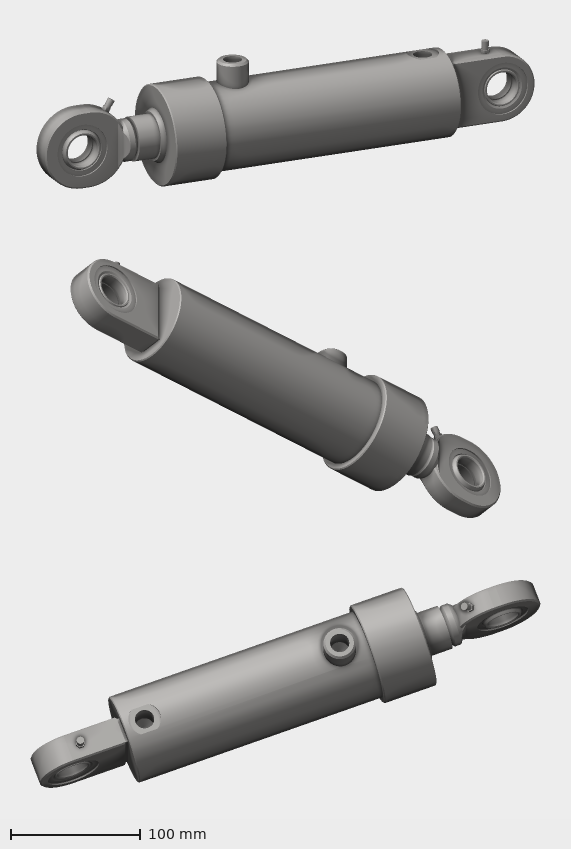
import cadquery as cq
import math


BASE_EYE_Y = 354.0
BARREL_END_Y = 308.5
BASE_EYE_ROOT_Y = 310.5
HEAD_BACK_Y = 108.5
HEAD_FACE_Y = 65.5
WIPER_FACE_Y = 62.0
ROD_FACE_Y = 44.5
COLLAR_BACK_Y = 41.5
COLLAR_FRONT_Y = 37.0
ROD_EYE_CHEEK_Y = 30.0
WAIST_Y = 34.0
BASE_PORT_Y = 291.2
HEAD_PORT_Y = 130.8

BARREL_DIAMETER = 70.0
HEAD_DIAMETER = 80.0
WIPER_BASE_DIAMETER = 43.5
WIPER_FACE_DIAMETER = 38.8
RIM_CHAMFER = 1.0

PORT_DIAMETER = 25.0
PORT_TOP_Z = 53.0
PORT_CHAMFER = 1.5
PORT_SPOTFACE_Z = 33.5
PORT_HOLE_DIAMETER = 15.0
PORT_HOLE_DEPTH = 20.5
DRILL_POINT_ANGLE = 118.0

ROD_DIAMETER = 35.0
COLLAR_DIAMETER = 33.5
COLLAR_NECK_DIAMETER = 28.0

EYE_CHAMFER = 1.2
BASE_EYE_RADIUS = 27.2
BASE_EYE_THICKNESS = 23.0
BASE_EYE_ROOT_INSET = 1.5
ROD_EYE_RADIUS = 31.5
ROD_EYE_THICKNESS = 18.0
ROD_EYE_ROOT_DIAMETER = 40.5
WAIST_DIAMETER = 30.5
WAIST_THICKNESS = 22.3
ROD_EYE_STRETCH = 6.5

BEARING_DIAMETER = 42.0
BEARING_RECESS = 1.2
RING_LIP_DIAMETER = 33.5
RING_LIP_DEPTH = 1.0
BALL_DIAMETER = 35.5
BALL_WIDTH = 20.5
BEARING_BORE = 25.0
BORE_CHAMFER = 1.0
GREASE_GROOVE_WIDTH = 2.5
GREASE_GROOVE_DEPTH = 1.0

NIPPLE_BASE_ACROSS_FLATS = 6.0
NIPPLE_NECK_DIAMETER = 5.5
NIPPLE_HEAD_DIAMETER = 5.8
NIPPLE_BASE_HEIGHT = 3.0
NIPPLE_NECK_HEIGHT = 3.0
NIPPLE_HEIGHT = 10.0
NIPPLE_ROOT_DEPTH = 2.0
BASE_NIPPLE_Y = 344.0
ROD_NIPPLE_TILT = 32.0


def turned(profile):
    """Solid of revolution about the Y axis from (radius, y) points."""
    return cq.Workplane("XY").polyline(profile).close().revolve(360, (0, 0, 0), (0, 1, 0))


def upright_cylinder(diameter, y, z_bottom, z_top):
    """Vertical cylinder on the cylinder's centre plane."""
    base = cq.Workplane("XY", origin=(0, y, z_bottom))
    return base.circle(diameter / 2).extrude(z_top - z_bottom)


def eye_bore(y):
    """Cross bore that fits a bearing's outer ring."""
    half_length = HEAD_DIAMETER / 2
    bore = cq.Workplane("YZ", origin=(-half_length, y, 0))
    return bore.circle(BEARING_DIAMETER / 2).extrude(2 * half_length)


def port_hole(y, z_mouth):
    """Blind drilled hole with a conical bottom."""
    radius = PORT_HOLE_DIAMETER / 2
    point_depth = radius / math.tan(math.radians(DRILL_POINT_ANGLE / 2))
    z_shoulder = z_mouth - PORT_HOLE_DEPTH
    profile = cq.Workplane("XZ", origin=(0, y, 0)).polyline([
        (0, z_mouth),
        (radius, z_mouth),
        (radius, z_shoulder),
        (0, z_shoulder - point_depth),
    ])
    return profile.close().revolve(360, (0, 0, 0), (0, 1, 0))


def grease_nipple():
    """Nipple along +Z with a hexagonal base, seated at z = 0 with a root below it."""
    neck_radius = NIPPLE_NECK_DIAMETER / 2
    head_radius = NIPPLE_HEAD_DIAMETER / 2
    neck_top = NIPPLE_BASE_HEIGHT + NIPPLE_NECK_HEIGHT
    base = (
        cq.Workplane("XY", origin=(0, 0, -NIPPLE_ROOT_DEPTH))
        .polygon(6, NIPPLE_BASE_ACROSS_FLATS, circumscribed=True)
        .extrude(NIPPLE_ROOT_DEPTH + NIPPLE_BASE_HEIGHT)
    )
    tip = cq.Workplane("XZ").polyline([
        (0, 0),
        (neck_radius, 0),
        (neck_radius, neck_top),
        (head_radius, neck_top),
        (head_radius, NIPPLE_HEIGHT),
        (0, NIPPLE_HEIGHT),
    ])
    return base.union(tip.close().revolve(360, (0, 0, 0), (0, 1, 0)))


def base_eye():
    """Round-ended block whose root narrows to its weld on the barrel."""
    height = 2 * BASE_EYE_RADIUS
    start = cq.Workplane("YZ", origin=(-BASE_EYE_THICKNESS / 2, 0, 0))
    plate = (
        start.moveTo(BASE_EYE_ROOT_Y, -BASE_EYE_RADIUS)
        .lineTo(BASE_EYE_Y, -BASE_EYE_RADIUS)
        .threePointArc((BASE_EYE_Y + BASE_EYE_RADIUS, 0), (BASE_EYE_Y, BASE_EYE_RADIUS))
        .lineTo(BASE_EYE_ROOT_Y, BASE_EYE_RADIUS)
        .close()
        .extrude(BASE_EYE_THICKNESS)
        .faces("<X or >X")
        .edges()
        .chamfer(EYE_CHAMFER)
    )
    root = cq.Workplane("XZ", origin=(0, BASE_EYE_ROOT_Y, 0)).rect(
        BASE_EYE_THICKNESS - 2 * BASE_EYE_ROOT_INSET,
        height - 2 * BASE_EYE_ROOT_INSET,
    ).extrude(BASE_EYE_ROOT_Y - BARREL_END_Y)
    nipple = grease_nipple().translate((0, BASE_NIPPLE_Y, BASE_EYE_RADIUS))
    return plate.union(root).union(nipple).cut(eye_bore(BASE_EYE_Y))


def make_barrel():
    """Barrel with its head, wiper, ports and base eye."""
    barrel_radius = BARREL_DIAMETER / 2
    head_radius = HEAD_DIAMETER / 2
    body = turned([
        (0, WIPER_FACE_Y),
        (WIPER_FACE_DIAMETER / 2, WIPER_FACE_Y),
        (WIPER_BASE_DIAMETER / 2, HEAD_FACE_Y),
        (head_radius - RIM_CHAMFER, HEAD_FACE_Y),
        (head_radius, HEAD_FACE_Y + RIM_CHAMFER),
        (head_radius, HEAD_BACK_Y - RIM_CHAMFER),
        (head_radius - RIM_CHAMFER, HEAD_BACK_Y),
        (barrel_radius, HEAD_BACK_Y),
        (barrel_radius, BARREL_END_Y - RIM_CHAMFER),
        (barrel_radius - RIM_CHAMFER, BARREL_END_Y),
        (0, BARREL_END_Y),
    ])

    head_port = upright_cylinder(PORT_DIAMETER, HEAD_PORT_Y, 0, PORT_TOP_Z)
    head_port = head_port.faces(">Z").edges().chamfer(PORT_CHAMFER)
    spotface = upright_cylinder(PORT_DIAMETER, BASE_PORT_Y, PORT_SPOTFACE_Z, PORT_TOP_Z)
    rod_bore = turned([
        (0, WIPER_FACE_Y),
        (ROD_DIAMETER / 2, WIPER_FACE_Y),
        (ROD_DIAMETER / 2, HEAD_BACK_Y),
        (0, HEAD_BACK_Y),
    ])
    return (
        body.union(head_port)
        .cut(spotface)
        .cut(port_hole(HEAD_PORT_Y, PORT_TOP_Z))
        .cut(port_hole(BASE_PORT_Y, PORT_SPOTFACE_Z))
        .cut(rod_bore)
        .union(base_eye())
    )


def rod_eye_plate():
    """Oblong eye plate with its grease nipple."""
    plate = (
        cq.Workplane("YZ", origin=(-ROD_EYE_THICKNESS / 2, 0, 0))
        .center(ROD_EYE_STRETCH / 2, 0)
        .slot2D(ROD_EYE_STRETCH + 2 * ROD_EYE_RADIUS, 2 * ROD_EYE_RADIUS)
        .extrude(ROD_EYE_THICKNESS)
        .faces("<X or >X")
        .edges()
        .chamfer(EYE_CHAMFER)
    )
    nipple = (
        grease_nipple()
        .translate((0, 0, ROD_EYE_RADIUS))
        .rotate((0, 0, 0), (1, 0, 0), -ROD_NIPPLE_TILT)
        .translate((0, ROD_EYE_STRETCH, 0))
    )
    return plate.union(nipple)


def rod_eye_root():
    """Waisted round root between collar and eye, with both sides cut down to the eye's thickness."""
    collar_radius = COLLAR_DIAMETER / 2
    half_eye = ROD_EYE_THICKNESS / 2
    half_waist = WAIST_THICKNESS / 2
    round_root = turned([
        (0, ROD_EYE_CHEEK_Y),
        (ROD_EYE_ROOT_DIAMETER / 2, ROD_EYE_CHEEK_Y),
        (WAIST_DIAMETER / 2, WAIST_Y),
        (collar_radius, COLLAR_FRONT_Y),
        (0, COLLAR_FRONT_Y),
    ])
    side_limits = (
        cq.Workplane("XY", origin=(0, 0, -ROD_EYE_RADIUS))
        .polyline([
            (-half_eye, ROD_EYE_CHEEK_Y),
            (half_eye, ROD_EYE_CHEEK_Y),
            (half_waist, WAIST_Y),
            (collar_radius, COLLAR_FRONT_Y),
            (-collar_radius, COLLAR_FRONT_Y),
            (-half_waist, WAIST_Y),
        ])
        .close()
        .extrude(2 * ROD_EYE_RADIUS)
    )
    return round_root.intersect(side_limits)


def make_rod():
    """Rod with its collar and eye."""
    rod_radius = ROD_DIAMETER / 2
    collar_radius = COLLAR_DIAMETER / 2
    shaft = turned([
        (0, COLLAR_FRONT_Y),
        (collar_radius, COLLAR_FRONT_Y),
        (collar_radius, COLLAR_BACK_Y),
        (COLLAR_NECK_DIAMETER / 2, ROD_FACE_Y),
        (rod_radius, ROD_FACE_Y),
        (rod_radius, HEAD_BACK_Y),
        (0, HEAD_BACK_Y),
    ])
    return shaft.union(rod_eye_root()).union(rod_eye_plate()).cut(eye_bore(0))


def make_bearing(y, eye_thickness):
    """Spherical bearing turned about the eye's X axis: an outer ring around a bored ball."""
    half_ring = eye_thickness / 2 - BEARING_RECESS
    half_ball = BALL_WIDTH / 2
    bore_radius = BEARING_BORE / 2
    half_groove = GREASE_GROOVE_WIDTH / 2
    groove_radius = bore_radius + GREASE_GROOVE_DEPTH
    ring_radius = BEARING_DIAMETER / 2
    ball_radius = BALL_DIAMETER / 2
    ball_face_radius = math.sqrt(ball_radius**2 - half_ball**2)
    lip_radius = RING_LIP_DIAMETER / 2
    seat_x = half_ring - RING_LIP_DEPTH
    seat_radius = math.sqrt(ball_radius**2 - seat_x**2)
    middle_x = (half_ball + seat_x) / 2
    middle_radius = math.sqrt(ball_radius**2 - middle_x**2)
    profile = (
        cq.Workplane("XY")
        .moveTo(-half_ball, bore_radius + BORE_CHAMFER)
        .lineTo(-half_ball + BORE_CHAMFER, bore_radius)
        .lineTo(-half_groove, bore_radius)
        .lineTo(-half_groove, groove_radius)
        .lineTo(half_groove, groove_radius)
        .lineTo(half_groove, bore_radius)
        .lineTo(half_ball - BORE_CHAMFER, bore_radius)
        .lineTo(half_ball, bore_radius + BORE_CHAMFER)
        .lineTo(half_ball, ball_face_radius)
        .threePointArc((middle_x, middle_radius), (seat_x, seat_radius))
        .lineTo(half_ring, lip_radius)
        .lineTo(half_ring, ring_radius)
        .lineTo(-half_ring, ring_radius)
        .lineTo(-half_ring, lip_radius)
        .lineTo(-seat_x, seat_radius)
        .threePointArc((-middle_x, middle_radius), (-half_ball, ball_face_radius))
        .close()
    )
    return profile.revolve(360, (0, 0, 0), (1, 0, 0)).translate((0, y, 0))


barrel = make_barrel()
rod = make_rod()
eyes = [(0, ROD_EYE_THICKNESS), (BASE_EYE_Y, BASE_EYE_THICKNESS)]
bearings = [make_bearing(eye_y, thickness) for eye_y, thickness in eyes]

result = cq.Compound.makeCompound([
    barrel.val(),
    rod.val(),
    *[bearing.val() for bearing in bearings],
])